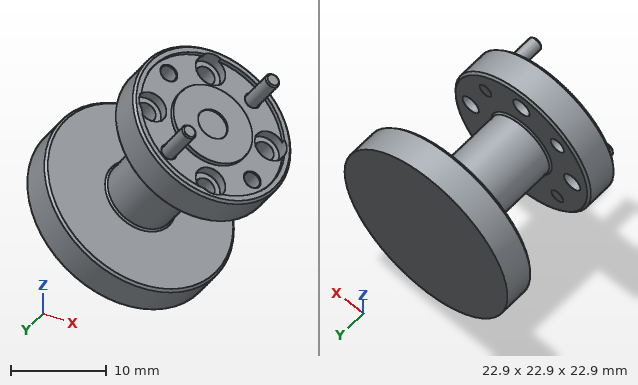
import cadquery as cq
import math

length = 22.92
pin_projection = 3.87
front_thickness = 4.1
rear_thickness = 3.85
front_face = pin_projection
front_back = front_face + front_thickness
rear_front = length - rear_thickness

rear_radius = 11.45
front_radius = 9.53
tube_radius = 4.08
edge_chamfer = 0.28
tube_chamfer = 0.2

recess_radius = 8.69
recess_depth = 0.5
boss_radius = 4.77
dimple_radius = 1.79
dimple_depth = 0.2
recess_floor = front_face + recess_depth

pitch_radius = 7.13
screw_radius = 1.15
counterbore_radius = 1.79
counterbore_depth = 1.12
dowel_hole_radius = 0.95
pin_radius = 0.83
hole_chamfer = 0.1
pin_chamfer = 0.15

SCREW_ANGLES = (0, 90, 180, 270)
PIN_ANGLES = (45, 225)
DOWEL_HOLE_ANGLES = (135, 315)


def pitch_point(angle):
    """X and Z of a position on the pitch circle."""
    turn = math.radians(angle)
    return pitch_radius * math.cos(turn), pitch_radius * math.sin(turn)


def cylinder(radius, start, end, center=(0, 0)):
    """Cylinder parallel to Y between two stations, centred at an X, Z point."""
    base = cq.Workplane("XZ", origin=(center[0], start, center[1]))
    return base.circle(radius).extrude(start - end)


def countersunk_hole(radius, angle):
    """Cutter through the front flange, flared where it meets the recess floor."""
    x, z = pitch_point(angle)
    flare = cq.Solid.makeCone(
        radius + hole_chamfer, radius, hole_chamfer,
        pnt=cq.Vector(x, recess_floor, z), dir=cq.Vector(0, 1, 0),
    )
    return cylinder(radius, front_face, front_back, (x, z)).union(cq.Workplane(flare))


def make_turned_blank():
    front_flange = cylinder(front_radius, front_face, front_back).edges().chamfer(edge_chamfer)
    rear_flange = cylinder(rear_radius, rear_front, length).faces("<Y").edges().chamfer(edge_chamfer)
    tube = cylinder(tube_radius, front_back, rear_front)
    blank = front_flange.union(tube).union(rear_flange)
    for station, direction in ((front_back, 1), (rear_front, -1)):
        bevel = cq.Solid.makeCone(
            tube_radius + tube_chamfer, tube_radius, tube_chamfer,
            pnt=cq.Vector(0, station, 0), dir=cq.Vector(0, direction, 0),
        )
        blank = blank.union(cq.Workplane(bevel))
    return blank


def make_waveguide():
    body = make_turned_blank()

    recess = cylinder(recess_radius, front_face, recess_floor)
    recess = recess.cut(cylinder(boss_radius, front_face, recess_floor))
    body = body.cut(recess)
    body = body.cut(cylinder(dimple_radius, front_face, front_face + dimple_depth))

    for angle in SCREW_ANGLES:
        center = pitch_point(angle)
        body = body.cut(cylinder(screw_radius, front_face, front_back, center))
        body = body.cut(cylinder(counterbore_radius, front_face, recess_floor + counterbore_depth, center))

    for angle in DOWEL_HOLE_ANGLES:
        body = body.cut(countersunk_hole(dowel_hole_radius, angle))
    for angle in PIN_ANGLES:
        body = body.cut(countersunk_hole(pin_radius, angle))
    return body


def make_pin(angle):
    """Dowel pin from the back of the front flange to the outer tip."""
    pin = cylinder(pin_radius, 0, front_back, pitch_point(angle))
    return pin.faces("<Y").edges().chamfer(pin_chamfer)


waveguide = make_waveguide()
pins = [make_pin(angle) for angle in PIN_ANGLES]

result = cq.Compound.makeCompound([waveguide.val(), *[pin.val() for pin in pins]])